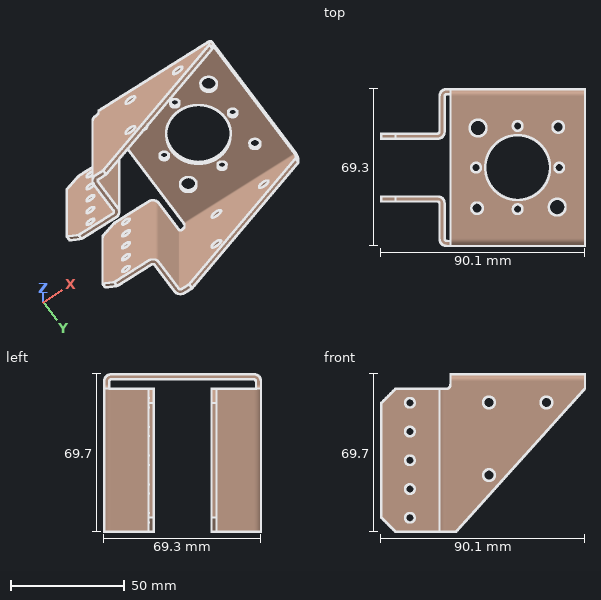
import cadquery as cq

length = 90.1
width = 69.35
height = 69.7

sheet = 2.3
inner_bend = 0.8
outer_bend = inner_bend + sheet

step_height = 63.3
top_plate_start = 30.5
relief_radius = 1.6
foot_end = 33.05
flange_chamfer = 6.4

jog_start = 25.8
jog_end = jog_start + sheet
flange_gap = 25.4
flange_inside = -flange_gap / 2
flange_outside = flange_inside - sheet
wall_outside = -width / 2
wall_inside = wall_outside + sheet

flange_hole_diameter = 4.1
flange_hole_x = 12.7
flange_hole_pitch = 12.7
flange_hole_count = 5

gusset_hole_diameter = 5.0
gusset_hole_near_x = 47.6
gusset_hole_far_x = 73.0
gusset_hole_high_z = 57.2
gusset_hole_low_z = 25.1

plate_middle = (top_plate_start + length) / 2
centre_bore_diameter = 28.55
ring_hole_diameter = 4.1
ring_hole_radius = 18.4
corner_hole_diameter = 4.95
corner_hole_offset = 17.9
access_hole_diameter = 7.3
access_hole_offset = 17.5


def edge_at(x, y, z):
    """Selector for the edge whose middle lies nearest to a point."""
    return cq.selectors.NearestToPointSelector((x, y, z))


def channel():
    """Top plate and side walls as an inverted U, starting where the strips' bends end."""
    start = jog_start + outer_bend
    run = length - start
    outer = (
        cq.Workplane("XY", origin=(start, 0, 0))
        .box(run, width, height, centered=(False, True, False))
        .edges("|X and >Z")
        .fillet(outer_bend)
    )
    inner = (
        cq.Workplane("XY", origin=(start, 0, 0))
        .box(run, width - 2 * sheet, height - sheet, centered=(False, True, False))
        .edges("|X and >Z")
        .fillet(inner_bend)
    )
    return outer.cut(inner)


def bent_strip():
    """Strip on the -Y side: mounting flange, crosswise wall and start of the gusset."""
    strip = (
        cq.Workplane("XY")
        .polyline([
            (0, flange_inside),
            (jog_end, flange_inside),
            (jog_end, wall_inside),
            (top_plate_start, wall_inside),
            (top_plate_start, wall_outside),
            (jog_start, wall_outside),
            (jog_start, flange_outside),
            (0, flange_outside),
        ])
        .close()
        .extrude(step_height)
    )
    mid = step_height / 2
    for x, y, radius in [
        (jog_end, flange_inside, outer_bend),
        (jog_start, flange_outside, inner_bend),
        (jog_start, wall_outside, outer_bend),
        (jog_end, wall_inside, inner_bend),
    ]:
        strip = strip.edges(edge_at(x, y, mid)).fillet(radius)
    return strip


def side_outline():
    """Full-width prism of the bracket's outline as seen along Y."""
    prism = (
        cq.Workplane("XZ", origin=(0, width / 2, 0))
        .polyline([
            (flange_chamfer, 0),
            (foot_end, 0),
            (length, step_height),
            (length, height),
            (top_plate_start, height),
            (top_plate_start, step_height),
            (flange_chamfer, step_height),
            (0, step_height - flange_chamfer),
            (0, flange_chamfer),
        ])
        .close()
        .extrude(width)
    )
    return prism.edges(edge_at(top_plate_start, 0, step_height)).fillet(relief_radius)


def side_holes(points, diameter):
    """Cylinders along Y through both sides, at (x, z) points."""
    return (
        cq.Workplane("XZ", origin=(0, width / 2, 0))
        .pushPoints(points)
        .circle(diameter / 2)
        .extrude(width)
    )


def plate_holes(points, diameter):
    """Cylinders through the top plate, at (x, y) points about its middle."""
    return (
        cq.Workplane("XY", origin=(plate_middle, 0, height))
        .pushPoints(points)
        .circle(diameter / 2)
        .extrude(-2 * sheet)
    )


strip = bent_strip()
folded = channel().union(strip).union(strip.mirror("XZ"))
bracket = folded.intersect(side_outline())

flange_holes = [
    (flange_hole_x, step_height / 2 + flange_hole_pitch * (row - (flange_hole_count - 1) / 2))
    for row in range(flange_hole_count)
]
bracket = bracket.cut(side_holes(flange_holes, flange_hole_diameter))
gusset_holes = [
    (gusset_hole_near_x, gusset_hole_high_z),
    (gusset_hole_far_x, gusset_hole_high_z),
    (gusset_hole_near_x, gusset_hole_low_z),
]
bracket = bracket.cut(side_holes(gusset_holes, gusset_hole_diameter))

ring = [
    (ring_hole_radius, 0),
    (0, ring_hole_radius),
    (-ring_hole_radius, 0),
    (0, -ring_hole_radius),
]
corners = [(side * corner_hole_offset, side * corner_hole_offset) for side in (-1, 1)]
access = [(side * access_hole_offset, -side * access_hole_offset) for side in (-1, 1)]
bracket = bracket.cut(plate_holes([(0, 0)], centre_bore_diameter))
bracket = bracket.cut(plate_holes(ring, ring_hole_diameter))
bracket = bracket.cut(plate_holes(corners, corner_hole_diameter))
result = bracket.cut(plate_holes(access, access_hole_diameter))